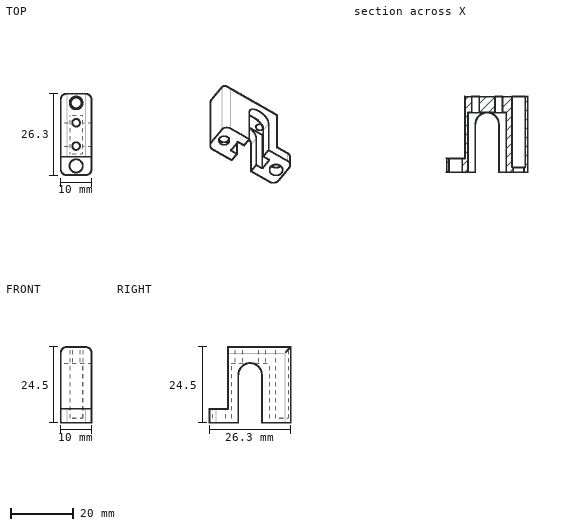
import cadquery as cq
import math

width = 10.0
length = 26.3
height = 24.5
corner_radius = 2.0

lug_length = 6.0
lug_height = 4.5

slot_width = 7.5
slot_height = 19.25

pocket_width = 4.0
pocket_overhang = 2.4
pocket_length = slot_width + 2 * pocket_overhang
pocket_height = slot_height

pin_hole_diameter = 2.4
pin_hole_spacing = slot_width
mount_hole_diameter = 4.2
mount_hole_spacing = 20.3
rear_hole_lower_diameter = 3.4
rear_hole_lower_height = 1.5
rear_hole_cone_angle = 118.0

front_y = -length / 2
body_front_y = front_y + lug_length
rear_y = length / 2


def make_body():
    """L-shaped side profile with rounded vertical corners and rounded long top edges."""
    side_profile = (
        cq.Workplane("YZ")
        .moveTo(front_y, 0)
        .lineTo(rear_y, 0)
        .lineTo(rear_y, height)
        .lineTo(body_front_y, height)
        .lineTo(body_front_y, lug_height)
        .lineTo(front_y, lug_height)
        .close()
        .extrude(width / 2, both=True)
    )
    footprint = (
        cq.Workplane("XY")
        .rect(width, length)
        .extrude(height)
        .edges("|Z")
        .fillet(corner_radius)
    )
    rounded_top = (
        cq.Workplane("XY")
        .box(width, length, height, centered=(True, True, False))
        .edges("|Y and >Z")
        .fillet(corner_radius)
    )
    return side_profile.intersect(footprint).intersect(rounded_top)


def make_slot():
    """Upright slot with a semicircular top, open at the bottom."""
    half_width = slot_width / 2
    spring_height = slot_height - half_width
    return (
        cq.Workplane("YZ")
        .moveTo(-half_width, 0)
        .lineTo(half_width, 0)
        .lineTo(half_width, spring_height)
        .threePointArc((0, slot_height), (-half_width, spring_height))
        .close()
        .extrude(width / 2, both=True)
    )


def make_pocket():
    """Rectangular pocket rising from the bottom face."""
    return cq.Workplane("XY").rect(pocket_width, pocket_length).extrude(pocket_height)


def make_through_hole(y, diameter):
    """Plain vertical hole through the full height."""
    return cq.Workplane("XY").center(0, y).circle(diameter / 2).extrude(height)


def make_rear_hole(y):
    """Vertical hole stepping down through a cone to a smaller diameter near the bottom."""
    lower_radius = rear_hole_lower_diameter / 2
    upper_radius = mount_hole_diameter / 2
    cone_half_angle = math.radians(rear_hole_cone_angle / 2)
    cone_top = rear_hole_lower_height + (upper_radius - lower_radius) / math.tan(cone_half_angle)
    half_section = (
        cq.Workplane("XZ")
        .moveTo(0, 0)
        .lineTo(lower_radius, 0)
        .lineTo(lower_radius, rear_hole_lower_height)
        .lineTo(upper_radius, cone_top)
        .lineTo(upper_radius, height)
        .lineTo(0, height)
        .close()
    )
    return half_section.revolve(360, (0, 0, 0), (0, 1, 0)).translate((0, y, 0))


result = make_body().cut(make_slot()).cut(make_pocket())
for side in (-1, 1):
    result = result.cut(make_through_hole(side * pin_hole_spacing / 2, pin_hole_diameter))
result = result.cut(make_through_hole(-mount_hole_spacing / 2, mount_hole_diameter))
result = result.cut(make_rear_hole(mount_hole_spacing / 2))